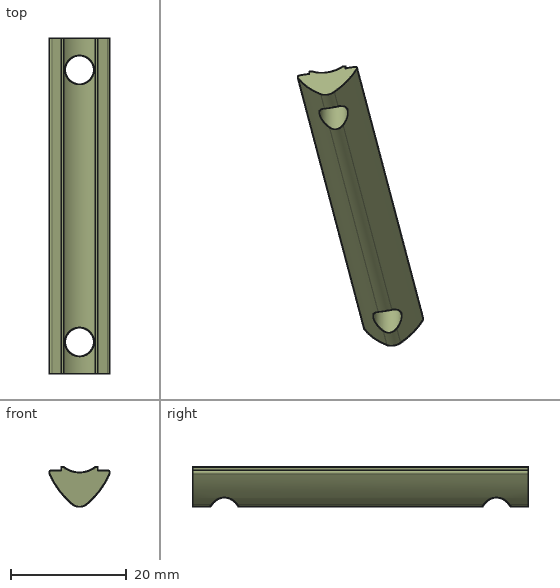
import cadquery as cq
import math

length = 58.0
width = 10.5
height = 6.9

rib_outer_x = 3.2
groove_half_width = 2.7
groove_depth = 0.9
rib_height = 0.6
shoulder_z = height - rib_height

edge_radius = 0.435
edge_end_angle = math.radians(25)
flank_bulge = 0.39
keel_radius = 1.9
keel_half_angle = math.radians(39)

hole_diameter = 4.95
hole_spacing = 47.0

edge_center_x = width / 2 - edge_radius
edge_center_z = shoulder_z - edge_radius


def edge_point(side, angle_below_horizontal):
    """Point on the rounded outer edge; side is +1 or -1."""
    return (
        side * (edge_center_x + edge_radius * math.cos(angle_below_horizontal)),
        edge_center_z - edge_radius * math.sin(angle_below_horizontal),
    )


def keel_point(side):
    """Point where the rounded keel meets a flank."""
    return (
        side * keel_radius * math.sin(keel_half_angle),
        keel_radius * (1 - math.cos(keel_half_angle)),
    )


def make_bar():
    """Extrude the symmetric cross-section along Y."""
    edge_mid_angle = (edge_end_angle - math.pi / 2) / 2
    profile = (
        cq.Workplane("XZ")
        .moveTo(-groove_half_width, height)
        .threePointArc((0, height - groove_depth), (groove_half_width, height))
        .lineTo(rib_outer_x, height)
        .lineTo(rib_outer_x, shoulder_z)
        .lineTo(edge_center_x, shoulder_z)
        .threePointArc(edge_point(1, edge_mid_angle), edge_point(1, edge_end_angle))
        .sagittaArc(keel_point(1), flank_bulge)
        .threePointArc((0, 0), keel_point(-1))
        .sagittaArc(edge_point(-1, edge_end_angle), flank_bulge)
        .threePointArc(edge_point(-1, edge_mid_angle), (-edge_center_x, shoulder_z))
        .lineTo(-rib_outer_x, shoulder_z)
        .lineTo(-rib_outer_x, height)
        .close()
    )
    return profile.extrude(length / 2, both=True)


def make_holes():
    """Two cylinders that pass right through the bar."""
    return (
        cq.Workplane("XY")
        .pushPoints([(0, -hole_spacing / 2), (0, hole_spacing / 2)])
        .circle(hole_diameter / 2)
        .extrude(height)
    )


result = make_bar().cut(make_holes())